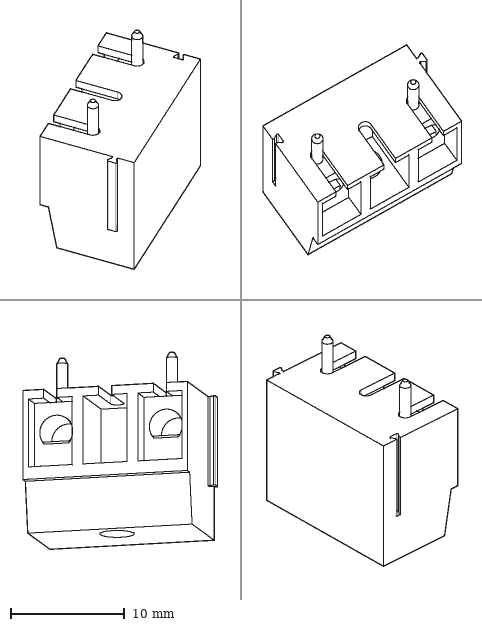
import cadquery as cq

body_length = 9.0
body_width = 15.0
body_height = 12.5
shoulder_height = 4.5
shoulder_inset = 0.8
foot_inset = 1.6

pole_count = 3
pole_pitch = body_width / pole_count
pole_positions = [(index + 0.5) * pole_pitch for index in range(pole_count)]
middle_pole = pole_positions[1]
outer_poles = [pole_positions[0], pole_positions[2]]

pocket_width = 4.0
pocket_floor = 5.6
roof_thickness = 0.8
pocket_top = body_height - roof_thickness
outer_pocket_depth = 2.0
middle_pocket_depth = 6.0

slot_width = 1.2
pin_x = 4.0
shaft_diameter = 3.0

wire_hole_diameter = 3.0
wire_hole_center_height = 9.02
wire_hole_depth = 4.0
wire_hole_flat_drop = 0.8
wire_hole_bevel = 0.24

pin_diameter = 1.0
pin_tip_diameter = 0.45
pin_tip_length = 0.5
pin_top = 16.0

dovetail_x = 7.15
dovetail_neck_width = 0.46
dovetail_head_width = 0.93
dovetail_depth = 0.7
dovetail_neck_length = 0.18
dovetail_flare_end = 0.55
dovetail_corner_radius = 0.1


def box_between(x_range, y_center, y_width, z_range):
    """Box spanning the given X and Z ranges, centred on y_center."""
    length = x_range[1] - x_range[0]
    height = z_range[1] - z_range[0]
    corner = (x_range[0], y_center - y_width / 2, z_range[0])
    return cq.Workplane("XY").box(length, y_width, height, centered=False).translate(corner)


def housing():
    """Side profile with a shoulder and a sloping lower front, extruded along Y."""
    profile = [
        (0, body_height),
        (0, shoulder_height),
        (shoulder_inset, shoulder_height),
        (foot_inset, 0),
        (body_length, 0),
        (body_length, body_height),
    ]
    return cq.Workplane("XZ").polyline(profile).close().extrude(-body_width)


def pocket(y, depth):
    return box_between((0, depth), y, pocket_width, (pocket_floor, pocket_top))


def roof_slot(y):
    """Slot open to the -X face with a round end about the pin axis."""
    straight = box_between((0, pin_x), y, slot_width, (pocket_top, body_height))
    round_end = (
        cq.Workplane("XY", origin=(pin_x, y, pocket_top)).circle(slot_width / 2).extrude(roof_thickness)
    )
    return straight.union(round_end)


def wire_hole(y):
    """Blind round hole along X with a flat floor bevelled at its mouth."""
    radius = wire_hole_diameter / 2
    start = outer_pocket_depth
    end = start + wire_hole_depth
    floor = wire_hole_center_height - wire_hole_flat_drop
    bore = (
        cq.Workplane("YZ", origin=(start, y, wire_hole_center_height)).circle(radius).extrude(wire_hole_depth)
    )
    opening_profile = [
        (start, floor - wire_hole_bevel),
        (start + wire_hole_bevel, floor),
        (end, floor),
        (end, wire_hole_center_height + radius),
        (start, wire_hole_center_height + radius),
    ]
    opening = (
        cq.Workplane("XZ", origin=(0, y, 0)).polyline(opening_profile).close().extrude(radius, both=True)
    )
    return bore.intersect(opening)


def pin(y):
    """Round pin with a tapered tip, standing on the metal below the roof."""
    radius = pin_diameter / 2
    tip_radius = pin_tip_diameter / 2
    profile = [
        (0, 0),
        (radius, 0),
        (radius, pin_top - pin_tip_length - pocket_top),
        (tip_radius, pin_top - pocket_top),
        (0, pin_top - pocket_top),
    ]
    revolved = cq.Workplane("XZ").polyline(profile).close().revolve(360, (0, 0), (0, 1))
    return revolved.translate((pin_x, y, pocket_top))


def dovetail(face_y):
    """Upright round-cornered dovetail bar reaching from face_y towards -Y, from the shoulder to the top."""
    neck = dovetail_neck_width / 2
    head = dovetail_head_width / 2
    outline = [
        (-neck, 0),
        (-neck, -dovetail_neck_length),
        (-head, -dovetail_flare_end),
        (-head, -dovetail_depth),
        (head, -dovetail_depth),
        (head, -dovetail_flare_end),
        (neck, -dovetail_neck_length),
        (neck, 0),
    ]
    base = cq.Workplane("XY", origin=(dovetail_x, face_y, shoulder_height))
    bar = base.polyline(outline).close().extrude(body_height - shoulder_height)
    return bar.faces("<Y").edges("|Z").fillet(dovetail_corner_radius)


result = housing()

for pole_y in pole_positions:
    result = result.cut(roof_slot(pole_y))

for pole_y in outer_poles:
    result = result.cut(pocket(pole_y, outer_pocket_depth))
    result = result.cut(wire_hole(pole_y))
    result = result.union(pin(pole_y))

shaft = cq.Workplane("XY", origin=(pin_x, middle_pole, 0)).circle(shaft_diameter / 2).extrude(pocket_top)
result = result.cut(pocket(middle_pole, middle_pocket_depth)).cut(shaft)

result = result.cut(dovetail(body_width)).union(dovetail(0))